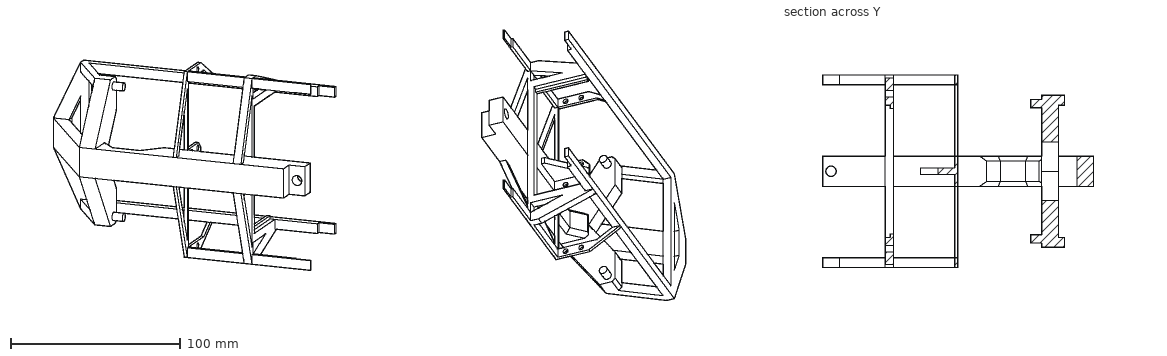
import cadquery as cq
import math

frame_end = 177.5
tip_length = 10.0
step_x = frame_end - tip_length
back_y = 60.0
rail_top = 45.0
hoop_top = 57.0

beam_depth = 18.0
beam_half = 9.0
beam_start = 38.0
tab_front_y = 9.0
tab_hole_d = 6.0
tab_hole_x = frame_end - tip_length / 2

notch_floor_y = 10.0
notch_x0 = 57.5
notch_x1 = 72.5
notch_bevel = 3.0
notch_angle = 45.0

nose_corner_x = 17.25
rail_depth = 5.0
rail_height = 6.0
rail_tip_depth = 2.5
rail_front_y = back_y - rail_depth
rail_bottom = rail_top - rail_height
nose_beam_width = 10.0
crossbar_width = 5.25
arm_width = 5.5

bracket_thick = 10.0
bracket_end = beam_start + bracket_thick
bracket_corner_y = 25.0
bracket_back_y = 35.0
bracket_chamfer = 2.0
bracket_inner_z = 24.3
pin_d = 5.0
pin_length = 6.5
pin_y = 30.0
pin_z = 40.0

strut_width = 4.0
post_back_y = 20.0
hoop_bar_height = 6.0
front_hoop_x = 97.5
front_hoop_thick = 2.0
front_hoop_knee_y = 40.0
front_hoop_inner_knee_y = 45.0
rear_hoop_x = 135.5
rear_hoop_thick = 5.0
rear_hoop_knee_y = 25.0
rear_strip_height = 7.75
rear_bar_bottom = 37.0
rear_bar_lip = 2.0
rear_bar_top = 44.0
rear_post_back_y = 22.0
outer_rail_tip_depth = 1.0

mount_back_y = 40.0
mount_chamfer = 4.0
mount_hole_d = 3.0
mount_hole_ys = (25.0, 35.0)
mount_hole_z = 6.0
gusset_leg = 20.0
gusset_thick = 4.0


def box(x0, x1, y0, y1, z0, z1):
    """Box given by its limits along each axis."""
    return cq.Workplane("XY").box(x1 - x0, y1 - y0, z1 - z0, centered=False).translate((x0, y0, z0))


def plate_x(points, x0, thick):
    """Outline in Y-Z, extruded along +X from x0."""
    return cq.Workplane("YZ").workplane(offset=x0).polyline(points).close().extrude(thick)


def plate_y(points, y0, y1):
    """Outline in X-Z, extruded from y0 to y1."""
    return cq.Workplane("XZ").workplane(offset=-y1).polyline(points).close().extrude(y1 - y0)


def plate_z(points, z0, z1):
    """Outline in X-Y, extruded from z0 to z1."""
    return cq.Workplane("XY").workplane(offset=z0).polyline(points).close().extrude(z1 - z0)


def both_sides(shape):
    """Shape together with its mirror image across Z = 0."""
    return shape.union(shape.mirror("XY"))


def notch_section(z, offset):
    """Notch outline at height z, with every edge moved outward by offset."""
    floor = notch_floor_y - offset
    spread = offset * math.tan(math.radians(notch_angle / 2))
    run = (beam_depth - floor) / math.tan(math.radians(notch_angle))
    x0 = notch_x0 - spread
    x1 = notch_x1 + spread
    points = [(x0, floor), (x1, floor), (x1 + run, beam_depth), (x0 - run, beam_depth)]
    return cq.Workplane("XY").workplane(offset=z).polyline(points).close()


def notch_cutter():
    """Notch with sloping ends, bevelled at both faces of the beam."""
    inner_z = beam_half - notch_bevel
    through = notch_section(-beam_half, 0).extrude(2 * beam_half)
    outer = notch_section(beam_half, notch_bevel).wires().vals()[0]
    inner = notch_section(inner_z, 0).wires().vals()[0]
    bevel = cq.Workplane(cq.Solid.makeLoft([inner, outer], True))
    return through.union(both_sides(bevel))


def central_beam():
    """Straight beam with a back notch and a drilled end tab."""
    beam = box(beam_start, step_x, 0, beam_depth, -beam_half, beam_half)
    tab = box(step_x, frame_end, tab_front_y, beam_depth, -beam_half, beam_half)
    hole = (
        cq.Workplane("XZ")
        .center(tab_hole_x, 0)
        .circle(tab_hole_d / 2)
        .extrude(-beam_depth)
    )
    return beam.cut(notch_cutter()).union(tab).cut(hole)


def nose_beam():
    """Sloping beam from the front of the central beam to the back frame."""
    inner_y = rail_front_y * nose_beam_width / beam_start
    points = [
        (beam_start, 0),
        (beam_start, inner_y),
        (nose_beam_width, rail_front_y),
        (0, rail_front_y),
    ]
    return plate_z(points, -beam_half, beam_half)


def nose_frame():
    """Tapered flat frame in the back plane, with a crossbar."""
    outer = [
        (0, -beam_half),
        (0, beam_half),
        (nose_corner_x, rail_top),
        (nose_corner_x + crossbar_width, rail_top),
        (nose_corner_x + crossbar_width, -rail_top),
        (nose_corner_x, -rail_top),
    ]
    taper = (rail_top - beam_half) / nose_corner_x
    window_z = beam_half + taper * (nose_corner_x - nose_beam_width)
    window = [
        (nose_beam_width, -beam_half),
        (nose_beam_width, beam_half),
        (nose_corner_x, window_z),
        (nose_corner_x, -window_z),
    ]
    return plate_y(outer, rail_front_y, back_y).cut(plate_y(window, rail_front_y, back_y))


def side_rail():
    """Long upper rail with a thin tip."""
    rail = box(nose_corner_x, step_x, rail_front_y, back_y, rail_bottom, rail_top)
    tip = box(step_x, frame_end, back_y - rail_tip_depth, back_y, rail_bottom, rail_top)
    return rail.union(tip)


def side_arm():
    """Sloping arm from the side rail to the bracket plate."""
    slope = (rail_front_y - bracket_corner_y) / (beam_start - nose_corner_x)
    points = [
        (nose_corner_x, rail_front_y),
        (nose_corner_x + arm_width, rail_front_y),
        (beam_start, bracket_corner_y + slope * arm_width),
        (beam_start, bracket_corner_y),
    ]
    return plate_z(points, rail_bottom, rail_top)


def bracket():
    """Sloping upper half of the bracket plate, with its pin."""
    points = [
        (0, 0),
        (0, beam_half),
        (bracket_corner_y, rail_top),
        (bracket_back_y - bracket_chamfer, rail_top),
        (bracket_back_y, rail_top - bracket_chamfer),
        (bracket_back_y, bracket_inner_z),
        (beam_depth, 0),
    ]
    pin = (
        cq.Workplane("YZ")
        .workplane(offset=bracket_end)
        .center(pin_y, pin_z)
        .circle(pin_d / 2)
        .extrude(pin_length)
    )
    return plate_x(points, beam_start, bracket_thick).union(pin)


def hoop_strut(x0, thick):
    """Sloping strut from the beam to the outer corner of a hoop."""
    drop = strut_width * (hoop_top - beam_half) / beam_depth
    points = [
        (0, beam_half),
        (beam_depth, hoop_top),
        (beam_depth, hoop_top - drop),
        (strut_width, beam_half),
    ]
    return plate_x(points, x0, thick)


def hole_row(z):
    """Cutters for the mounting holes of the thin hoop at height z."""
    return (
        cq.Workplane("YZ")
        .workplane(offset=front_hoop_x)
        .pushPoints([(y, z) for y in mount_hole_ys])
        .circle(mount_hole_d / 2)
        .extrude(front_hoop_thick)
    )


def front_hoop():
    """Upper half of the thin hoop, with two holes in its top bar."""
    bar_bottom = hoop_top - hoop_bar_height
    top_bar = [
        (back_y, rail_top),
        (front_hoop_knee_y, hoop_top),
        (beam_depth, hoop_top),
        (beam_depth, bar_bottom),
        (front_hoop_inner_knee_y, bar_bottom),
        (rail_front_y, rail_top),
    ]
    hoop = plate_x(top_bar, front_hoop_x, front_hoop_thick)
    post = box(front_hoop_x, front_hoop_x + front_hoop_thick, beam_depth, post_back_y, 0, hoop_top)
    strut = hoop_strut(front_hoop_x, front_hoop_thick)
    return hoop.union(post).union(strut).cut(hole_row(hoop_top - hoop_bar_height / 2))


def rear_hoop():
    """Upper half of the thick hoop, tied to the side rail by a straight bar."""
    x1 = rear_hoop_x + rear_hoop_thick
    slope = (hoop_top - rail_top) / (back_y - rear_hoop_knee_y)
    strip_bottom = rail_top - rear_strip_height
    strip = [
        (back_y, rail_top),
        (rear_hoop_knee_y, hoop_top),
        (beam_depth, hoop_top),
        (beam_depth, strip_bottom + slope * (back_y - beam_depth)),
        (rail_front_y, strip_bottom + slope * rail_depth),
        (rail_front_y, rail_bottom),
        (back_y, rail_bottom),
    ]
    hoop = plate_x(strip, rear_hoop_x, rear_hoop_thick)
    lip_x = rear_hoop_x + rear_bar_lip
    lip = box(rear_hoop_x, lip_x, beam_depth, rail_front_y, rear_bar_bottom, rear_bar_top)
    bar = box(lip_x, x1, beam_depth, rail_front_y, rail_bottom, rear_bar_top)
    post = box(rear_hoop_x, x1, beam_depth, post_back_y, 0, hoop_top)
    thick_post = box(rear_hoop_x, x1, beam_depth, rear_post_back_y, 0, rear_bar_top)
    strut = hoop_strut(rear_hoop_x, rear_hoop_thick)
    return hoop.union(lip).union(bar).union(post).union(thick_post).union(strut)


def outer_rail():
    """Flat rail joining the hoop corners, with a thinner tip."""
    bottom = hoop_top - hoop_bar_height
    rail = box(front_hoop_x, step_x, beam_depth, post_back_y, bottom, hoop_top)
    tip = box(step_x, frame_end, beam_depth, beam_depth + outer_rail_tip_depth, bottom, hoop_top)
    return rail.union(tip)


def mounting_plate():
    """Drilled plate behind the beam, stiffened by a triangular gusset."""
    outline = [
        (beam_depth, -beam_half),
        (mount_back_y - mount_chamfer, -beam_half),
        (mount_back_y, -beam_half + mount_chamfer),
        (mount_back_y, beam_half - mount_chamfer),
        (mount_back_y - mount_chamfer, beam_half),
        (beam_depth, beam_half),
    ]
    plate = plate_x(outline, front_hoop_x, front_hoop_thick)
    for z in (-mount_hole_z, mount_hole_z):
        plate = plate.cut(hole_row(z))
    gusset_x = front_hoop_x + front_hoop_thick
    gusset_profile = [
        (gusset_x, beam_depth),
        (gusset_x, mount_back_y),
        (gusset_x + gusset_leg, post_back_y),
        (gusset_x + gusset_leg, beam_depth),
    ]
    gusset = plate_z(gusset_profile, -gusset_thick / 2, gusset_thick / 2)
    return plate.union(gusset)


result = central_beam().union(nose_beam()).union(nose_frame()).union(mounting_plate())
for half_member in (side_rail(), side_arm(), bracket(), front_hoop(), rear_hoop(), outer_rail()):
    result = result.union(both_sides(half_member))